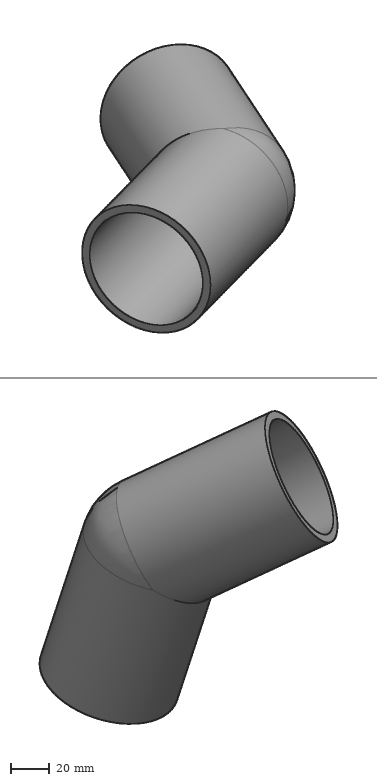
import cadquery as cq
import math

overall_length = 180.2
outer_diameter = 75.0
wall = 4.5
bend_angle = 45.0

outer_radius = outer_diameter / 2
inner_radius = outer_radius - wall
bend = math.radians(bend_angle)
leg_length = (overall_length - outer_radius * math.sin(bend)) / (1 + math.cos(bend))

bend_centre = cq.Vector(0, 0, 0)
straight_direction = cq.Vector(-1, 0, 0)
angled_direction = cq.Vector(math.cos(bend), -math.sin(bend), 0)


def elbow_body(radius):
    """Two cylinders meeting at the bend centre, rounded outside the bend by a ball."""
    body = cq.Workplane("XY").sphere(radius)
    for direction in (straight_direction, angled_direction):
        leg = cq.Solid.makeCylinder(radius, leg_length, bend_centre, direction)
        body = body.union(cq.Workplane(obj=leg))
    return body


result = elbow_body(outer_radius).cut(elbow_body(inner_radius))